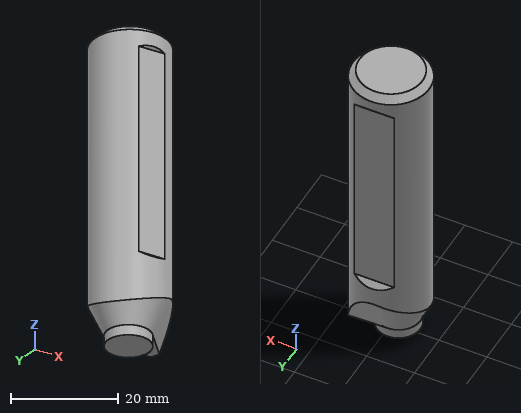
import cadquery as cq
import math

length = 64.7
shank_diameter = 16.0
shank_radius = shank_diameter / 2
top_chamfer = 1.4

pin_diameter = 9.1
pin_radius = pin_diameter / 2
pin_eccentricity = 1.5
pin_offset = -pin_eccentricity / math.sqrt(2)
pin_height = 2.15

nose_half_angle = 25.0
nose_height = 11.0
front_flank_angle = -42.0
rear_flank_angle = 92.0

flat_bottom = 16.6
flat_top = 59.85
front_flat_depth = 0.5
rear_flat_depth = 1.15


def teardrop(plane, radius):
    """Circular arc on the pin axis, closed by two tangent lines meeting in a point."""
    middle_angle = (front_flank_angle + rear_flank_angle) / 2
    half_spread = math.radians(rear_flank_angle - front_flank_angle) / 2

    def polar(distance, angle):
        turn = math.radians(angle)
        return (pin_offset + distance * math.cos(turn), pin_offset + distance * math.sin(turn))

    return (
        plane.moveTo(*polar(radius / math.cos(half_spread), middle_angle))
        .lineTo(*polar(radius, rear_flank_angle))
        .threePointArc(polar(radius, middle_angle + 180), polar(radius, front_flank_angle))
        .close()
    )


def make_shank():
    return (
        cq.Workplane("XY", origin=(0, 0, pin_height))
        .circle(shank_radius)
        .extrude(length - pin_height)
        .faces(">Z")
        .chamfer(top_chamfer)
    )


def nose_waste():
    """Material around the teardrop nose, to be removed from the shank."""
    large_radius = pin_radius + nose_height * math.tan(math.radians(nose_half_angle))
    base = teardrop(cq.Workplane("XY", origin=(0, 0, pin_height)), pin_radius)
    nose = teardrop(base.workplane(offset=nose_height), large_radius).loft(ruled=True)
    blank_radius = 2 * shank_radius
    blank = cq.Workplane("XY", origin=(0, 0, pin_height)).circle(blank_radius).extrude(nose_height)
    return blank.cut(nose)


def make_pin():
    return cq.Workplane("XY").center(pin_offset, pin_offset).circle(pin_radius).extrude(pin_height)


def flat_cutter(side, depth):
    """Trapezoid in the YZ plane; side is -1 for -Y and +1 for +Y."""
    floor = side * (shank_radius - depth)
    outside = side * shank_radius
    return (
        cq.Workplane("YZ")
        .polyline([
            (floor, flat_bottom),
            (floor, flat_top),
            (outside, flat_top + depth),
            (outside, flat_bottom - depth),
        ])
        .close()
        .extrude(shank_radius, both=True)
    )


result = make_shank().cut(nose_waste()).union(make_pin())
for side, depth in ((-1, front_flat_depth), (1, rear_flat_depth)):
    result = result.cut(flat_cutter(side, depth))